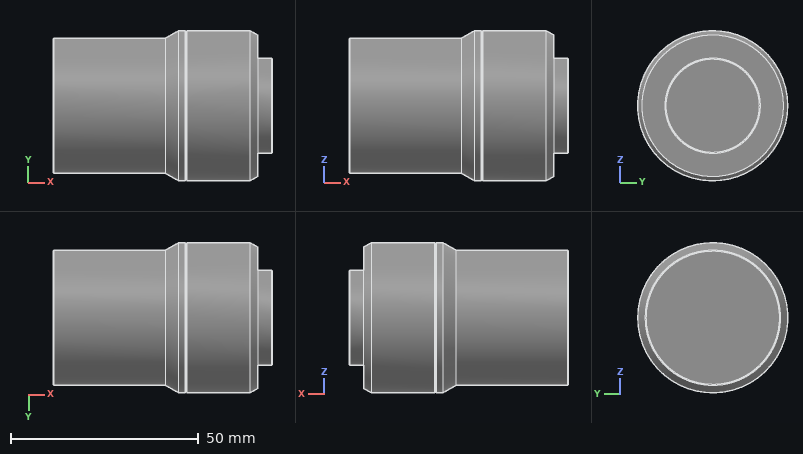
import cadquery as cq

total_length = 58.5

barrel_radius = 18.0
barrel_length = 29.95
barrel_edge_chamfer = 0.3

head_radius = 20.0
shoulder_end = 33.45
head_end = 54.6
head_chamfer_length = 2.1
head_chamfer_depth = 1.15

groove_start = 35.2
groove_width = 0.5
groove_depth = groove_width / 2

boss_radius = 12.7
boss_edge_chamfer = 0.3


def revolved_body():
    """Revolve the stepped half profile of the solid body about the X axis."""
    profile = [
        (0, 0),
        (0, barrel_radius - barrel_edge_chamfer),
        (barrel_edge_chamfer, barrel_radius),
        (barrel_length, barrel_radius),
        (shoulder_end, head_radius),
        (head_end - head_chamfer_length, head_radius),
        (head_end, head_radius - head_chamfer_depth),
        (head_end, boss_radius),
        (total_length - boss_edge_chamfer, boss_radius),
        (total_length, boss_radius - boss_edge_chamfer),
        (total_length, 0),
    ]
    return cq.Workplane("XY").polyline(profile).close().revolve(360, (0, 0, 0), (1, 0, 0))


def groove_ring():
    """Revolve the symmetric V section of the groove about the X axis."""
    floor_radius = head_radius - groove_depth
    section = [
        (groove_start, head_radius),
        (groove_start + groove_width / 2, floor_radius),
        (groove_start + groove_width, head_radius),
    ]
    return cq.Workplane("XY").polyline(section).close().revolve(360, (0, 0, 0), (1, 0, 0))


result = revolved_body().cut(groove_ring())